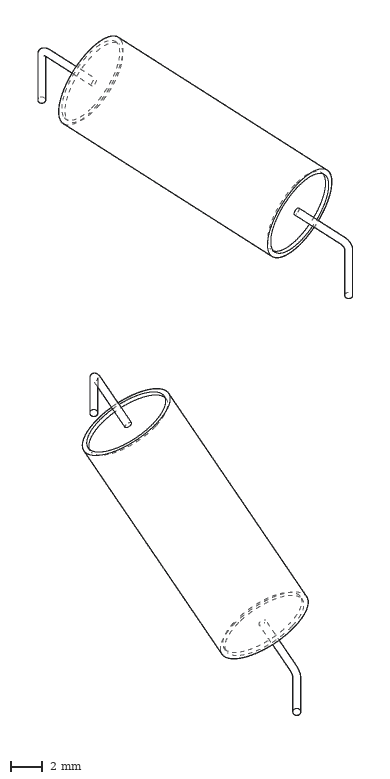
import cadquery as cq

overall_length = 25.5
overall_height = 8.5
body_diameter = 6.5
body_length = 17.0
recess_diameter = 5.85
recess_depth = 0.25
lead_diameter = 0.5
bend_radius = 0.5

body_radius = body_diameter / 2
lead_radius = lead_diameter / 2
lead_x = overall_length / 2 - lead_radius
lead_bottom_z = body_radius - overall_height
lead_root_x = body_length / 2 - recess_depth
lead_embed = 0.25


def x_cylinder(diameter, start_x, length):
    """Cylinder on the body axis, running in +X from start_x."""
    return cq.Workplane("YZ", origin=(start_x, 0, 0)).circle(diameter / 2).extrude(length)


def make_body():
    """Cylinder with a shallow round recess in each end face."""
    body = x_cylinder(body_diameter, -body_length / 2, body_length)
    for recess_start in (-body_length / 2, lead_root_x):
        body = body.cut(x_cylinder(recess_diameter, recess_start, recess_depth))
    return body


def make_lead(side):
    """Round lead leaving the end at side (-1 or +1) and bending down."""
    start_x = side * (lead_root_x - lead_embed)
    path = (
        cq.Workplane("XZ")
        .moveTo(start_x, 0)
        .lineTo(side * (lead_x - bend_radius), 0)
        .tangentArcPoint((side * lead_x, -bend_radius), relative=False)
        .lineTo(side * lead_x, lead_bottom_z)
    )
    return cq.Workplane("YZ", origin=(start_x, 0, 0)).circle(lead_radius).sweep(path)


result = make_body()
for side in (-1, 1):
    result = result.union(make_lead(side))